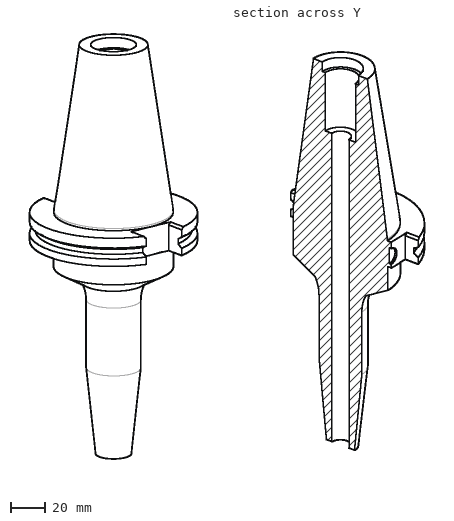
import cadquery as cq
import math

total_height = 251.5
gauge_z = 150.0

gauge_radius = 35.0
taper_slope = 7 / 24 / 2
taper_top_radius = gauge_radius - taper_slope * (total_height - gauge_z)

flange_diameter = 98.5
flange_radius = flange_diameter / 2
flange_top_z = 148.5
flange_bottom_z = 131.0
groove_depth = 3.3
groove_top_z = 142.5
groove_bottom_z = 135.5
groove_flank_angle = math.radians(30)
groove_flank_height = groove_depth * math.tan(groove_flank_angle)

body_radius = 35.2
body_bottom_z = 115.2
cone_bottom_radius = 18.9
cone_bottom_z = 106.0
nose_radius = 16.0
fillet_bottom_z = 94.9
nose_cone_z = 53.0
tip_radius = 10.5

slot_width = 26.5
slot_chamfer = 1.5
slot_floor_negative_x = 37.7
slot_floor_positive_x = 35.2

recess_diameter = 10.3
recess_depth = 1.3
recess_z = 139.0

counterbore_radius = 13.3
counterbore_depth = 6.3
drawbar_bore_radius = 11.0
drawbar_bore_depth = 45.3
through_bore_radius = 6.3


def make_turned_body():
    rise = cone_bottom_z - fillet_bottom_z
    spread = cone_bottom_radius - nose_radius
    fillet_radius = (rise**2 + spread**2) / (2 * spread)
    middle_rise = rise / 2
    middle_spread = fillet_radius - math.sqrt(fillet_radius**2 - middle_rise**2)
    groove_radius = flange_radius - groove_depth
    return (
        cq.Workplane("XZ")
        .moveTo(0, 0)
        .lineTo(tip_radius, 0)
        .lineTo(nose_radius, nose_cone_z)
        .lineTo(nose_radius, fillet_bottom_z)
        .threePointArc(
            (nose_radius + middle_spread, fillet_bottom_z + middle_rise),
            (cone_bottom_radius, cone_bottom_z),
        )
        .lineTo(body_radius, body_bottom_z)
        .lineTo(body_radius, flange_bottom_z)
        .lineTo(flange_radius, flange_bottom_z)
        .lineTo(flange_radius, groove_bottom_z)
        .lineTo(groove_radius, groove_bottom_z + groove_flank_height)
        .lineTo(groove_radius, groove_top_z - groove_flank_height)
        .lineTo(flange_radius, groove_top_z)
        .lineTo(flange_radius, flange_top_z)
        .lineTo(gauge_radius, flange_top_z)
        .lineTo(gauge_radius, gauge_z)
        .lineTo(taper_top_radius, total_height)
        .lineTo(0, total_height)
        .close()
        .revolve(360, (0, 0, 0), (0, 1, 0))
    )


def make_drive_slot(side, floor_distance):
    """Slot through the flange, opening on the given side (+1 or -1) of X."""
    half_width = slot_width / 2
    mouth_half_width = half_width + slot_chamfer
    return (
        cq.Workplane("YZ", origin=(side * floor_distance, 0, 0))
        .moveTo(-half_width, flange_bottom_z)
        .lineTo(half_width, flange_bottom_z)
        .lineTo(half_width, flange_top_z - slot_chamfer)
        .lineTo(mouth_half_width, flange_top_z)
        .lineTo(-mouth_half_width, flange_top_z)
        .lineTo(-half_width, flange_top_z - slot_chamfer)
        .close()
        .extrude(side * flange_radius)
    )


def make_slot_recess():
    return (
        cq.Workplane("YZ", origin=(-slot_floor_negative_x, 0, recess_z))
        .circle(recess_diameter / 2)
        .extrude(recess_depth)
    )


def make_bore(radius, depth):
    """Cylinder running down the axis from the top face."""
    return cq.Workplane("XY", origin=(0, 0, total_height)).circle(radius).extrude(-depth)


result = (
    make_turned_body()
    .cut(make_drive_slot(-1, slot_floor_negative_x))
    .cut(make_drive_slot(1, slot_floor_positive_x))
    .cut(make_slot_recess())
    .cut(make_bore(counterbore_radius, counterbore_depth))
    .cut(make_bore(drawbar_bore_radius, drawbar_bore_depth))
    .cut(make_bore(through_bore_radius, total_height))
)